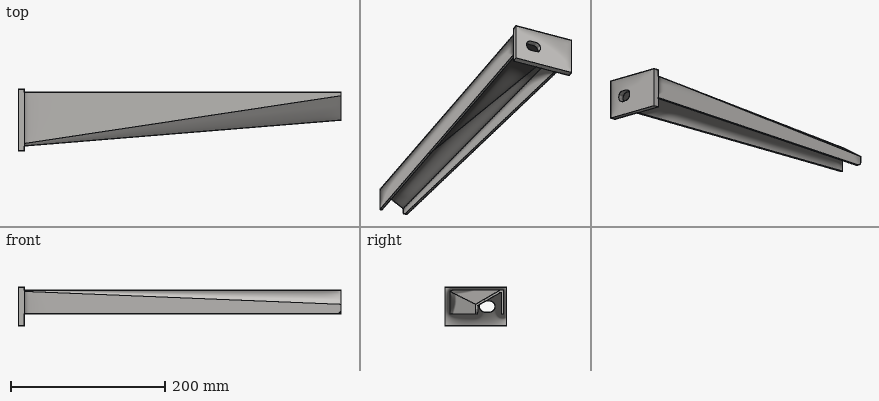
import cadquery as cq

plate_thickness = 8.0
plate_width = 80.0
plate_height = 50.0
plate_back = plate_width / 2
plate_top = plate_height / 2

slot_length = 20.0
slot_height = 14.2
slot_inset = 25.0

total_length = 418.0
arm_height = 31.0
arm_top = plate_top - 3.8
arm_bottom = arm_top - arm_height
arm_back = plate_back - 3.8
sheet = 3.0
root_top_width = 66.5
tip_top_width = 4.5
root_width = 70.0
tip_width = 36.5
root_bevel_drop = 1.5
tip_bevel_drop = 18.5
tip_corner_radius = 6.3


def make_plate():
    slab = cq.Workplane("XY").box(plate_thickness, plate_width, plate_height).translate(
        (plate_thickness / 2, 0, 0)
    )
    slot = (
        cq.Workplane("YZ")
        .center(plate_back - slot_inset, 0)
        .slot2D(slot_length, slot_height)
        .extrude(plate_thickness)
    )
    return slab.cut(slot)


def arm_loft(root_points, tip_points):
    """Solid with flat sides between a root outline and a tip outline in YZ."""
    return (
        cq.Workplane("YZ", origin=(plate_thickness, 0, 0))
        .polyline(root_points)
        .close()
        .workplane(offset=total_length - plate_thickness)
        .polyline(tip_points)
        .close()
        .loft(ruled=True)
    )


def outer_section(top_width, full_width, bevel_drop):
    front = arm_back - full_width
    return [
        (arm_back, arm_bottom),
        (arm_back, arm_top),
        (arm_back - top_width, arm_top),
        (front, arm_top - bevel_drop),
        (front, arm_bottom),
    ]


def inner_section(top_width, full_width, bevel_drop):
    """Outer section moved in by the sheet thickness, open at the bottom."""
    run = full_width - top_width
    bevel_length = (run**2 + bevel_drop**2) ** 0.5
    back = arm_back - sheet
    front = arm_back - full_width + sheet
    top = arm_top - sheet
    top_shift = sheet * (bevel_length - run) / bevel_drop
    front_shift = sheet * (bevel_length - bevel_drop) / run
    return [
        (back, arm_bottom),
        (back, top),
        (arm_back - top_width + top_shift, top),
        (front, arm_top - bevel_drop - front_shift),
        (front, arm_bottom),
    ]


def make_arm():
    root = (root_top_width, root_width, root_bevel_drop)
    tip = (tip_top_width, tip_width, tip_bevel_drop)
    shell = arm_loft(outer_section(*root), outer_section(*tip))
    hollow = arm_loft(inner_section(*root), inner_section(*tip))
    return shell.cut(hollow).cut(make_tip_corner())


def make_tip_corner():
    """Waste outside the rounded lower corner at the free end of the front wall."""
    r = tip_corner_radius
    front = arm_back - root_width
    wall_depth = root_width - sheet
    square = (
        cq.Workplane("XZ", origin=(total_length - r, front, arm_bottom))
        .rect(r, r, centered=False)
        .extrude(-wall_depth)
    )
    disc = (
        cq.Workplane("XZ", origin=(total_length - r, front, arm_bottom + r))
        .circle(r)
        .extrude(-wall_depth)
    )
    return square.cut(disc)


plate = make_plate()
arm = make_arm()

result = cq.Compound.makeCompound([plate.val(), arm.val()])